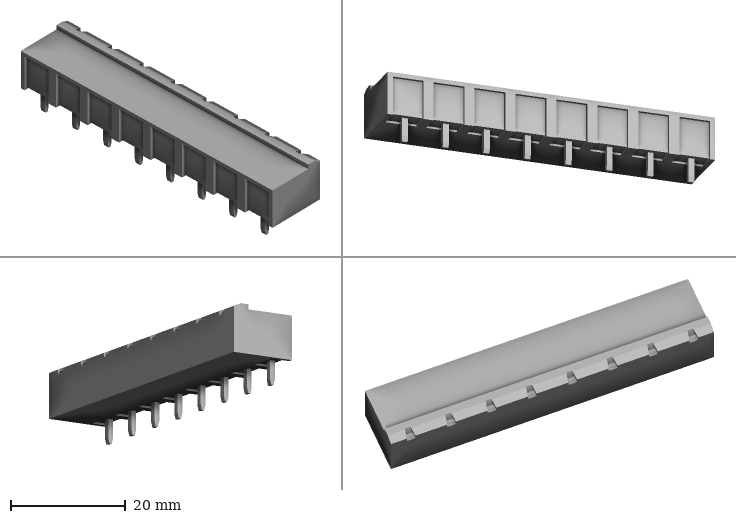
import cadquery as cq
length = 60.9
depth = 12.0
total_height = 12.9
housing_height = 8.9
ridge_width = 3.0
ridge_rise = 0.9
bevel_depth = 1.45
bevel_drop = 0.7

contact_count = 8
pitch = 7.6

recess_width = 5.7
recess_depth = 0.6
recess_top = 1.7
underside_relief = 0.35
relief_depth = 3.65

pin_width = 1.1
pin_thickness = 1.0
pin_center = 2.0
pin_tip_length = 1.0
pin_tip_thickness = 0.5

notch_back_width = 1.65
notch_front_width = 1.05
notch_depth = 1.65
notch_wall_run = 0.6
notch_fall_run = 0.55
notch_floor_drop = 1.0
notch_back_angle = 45
notch_floor_sag = 0.105

front = -depth / 2
back = depth / 2
pin_length = total_height - housing_height
contact_positions = [(i - (contact_count - 1) / 2) * pitch for i in range(contact_count)]


def extrude_along_x(points, width, center):
    """Extrude a YZ outline by width, centred on the X position."""
    return (
        cq.Workplane("YZ", origin=(center, 0, 0))
        .polyline(points)
        .close()
        .extrude(width / 2, both=True)
    )


def make_housing():
    ridge_front = back - ridge_width
    shoulder = housing_height - ridge_rise
    outline = [
        (front, 0),
        (back, 0),
        (back, housing_height - bevel_drop),
        (back - bevel_depth, housing_height),
        (ridge_front, housing_height),
        (ridge_front, shoulder),
        (front, shoulder),
    ]
    return extrude_along_x(outline, length, 0)


def make_recess(x):
    """Front recess joined to a shallow relief in the underside."""
    top = housing_height - recess_top
    outline = [
        (front, 0),
        (front + relief_depth, 0),
        (front + relief_depth, underside_relief),
        (front + recess_depth, underside_relief),
        (front + recess_depth, top),
        (front, top),
    ]
    return extrude_along_x(outline, recess_width, x)


def make_pin(x):
    """Rectangular pin whose tip tapers on its front and back faces."""
    center = front + pin_center
    half = pin_thickness / 2
    half_tip = pin_tip_thickness / 2
    taper_start = pin_tip_length - pin_length
    outline = [
        (center - half, underside_relief),
        (center - half, taper_start),
        (center - half_tip, -pin_length),
        (center + half_tip, -pin_length),
        (center + half, taper_start),
        (center + half, underside_relief),
    ]
    return extrude_along_x(outline, pin_width, x)


def make_floor_channel(y, z):
    """Channel with a slightly hollow floor, running toward +Y from y with its lowest line at z."""
    half = notch_back_width / 2
    return (
        cq.Workplane("XZ", origin=(0, y, z))
        .moveTo(-half, notch_floor_sag)
        .threePointArc((0, 0), (half, notch_floor_sag))
        .lineTo(half, housing_height)
        .lineTo(-half, housing_height)
        .close()
        .extrude(-ridge_width)
    )


def make_notch():
    """Notch at X = 0: sloped front wall, level hollow floor, then a floor falling toward the back."""
    floor = housing_height - notch_floor_drop
    tip = back - notch_depth
    wall_foot = tip + notch_wall_run
    floor_end = back - notch_fall_run
    plan = (
        cq.Workplane("XY")
        .polyline([
            (-notch_front_width / 2, tip),
            (notch_front_width / 2, tip),
            (notch_back_width / 2, back),
            (-notch_back_width / 2, back),
        ])
        .close()
        .extrude(housing_height)
    )
    level_floor = make_floor_channel(tip, floor)
    falling_floor = make_floor_channel(floor_end, floor).rotate(
        (0, floor_end, floor), (1, floor_end, floor), -notch_back_angle
    )
    ahead_of_wall = extrude_along_x(
        [(tip, housing_height), (wall_foot, floor), (wall_foot, 0), (back, 0), (back, housing_height)],
        notch_back_width,
        0,
    )
    return level_floor.union(falling_floor).intersect(plan).intersect(ahead_of_wall)


notch = make_notch()
result = make_housing()
for x in contact_positions:
    result = result.cut(make_recess(x)).cut(notch.translate((x, 0, 0)))
for x in contact_positions:
    result = result.union(make_pin(x))